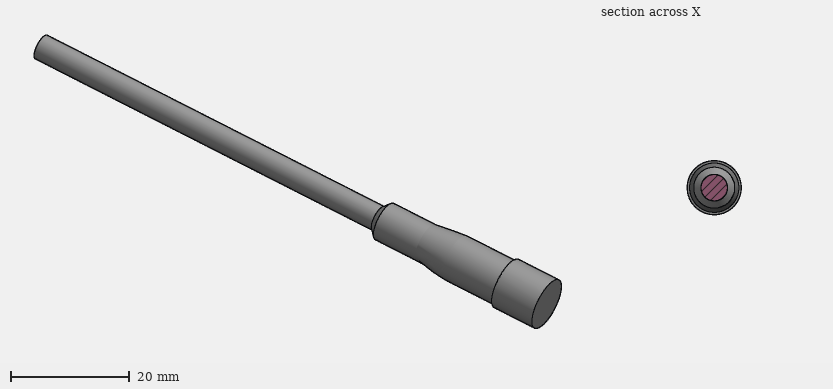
import cadquery as cq

total_length = 101.6
collar_length = 8.1
collar_diameter = 9.14
body_length = 10.1
body_diameter = 8.3
transition_length = 5.9
grip_length = 9.7
grip_diameter = 6.9
chamfer_length = 1.2
cable_diameter = 4.5

collar_start = total_length - collar_length
body_start = collar_start - body_length
grip_end = body_start - transition_length
chamfer_start = grip_end - grip_length

collar_radius = collar_diameter / 2
body_radius = body_diameter / 2
grip_radius = grip_diameter / 2
cable_radius = cable_diameter / 2


def make_profile():
    """Half section of the whole part on the -Y side, closed along the X axis."""
    along_axis = (1, 0)
    return (
        cq.Workplane("XY")
        .moveTo(0, 0)
        .lineTo(0, -cable_radius)
        .lineTo(chamfer_start, -cable_radius)
        .lineTo(chamfer_start + chamfer_length, -grip_radius)
        .lineTo(grip_end, -grip_radius)
        .spline([(body_start, -body_radius)], tangents=[along_axis, along_axis], includeCurrent=True)
        .lineTo(collar_start, -body_radius)
        .lineTo(collar_start, -collar_radius)
        .lineTo(total_length, -collar_radius)
        .lineTo(total_length, 0)
        .close()
    )


result = make_profile().revolve(360, (0, 0, 0), (1, 0, 0))